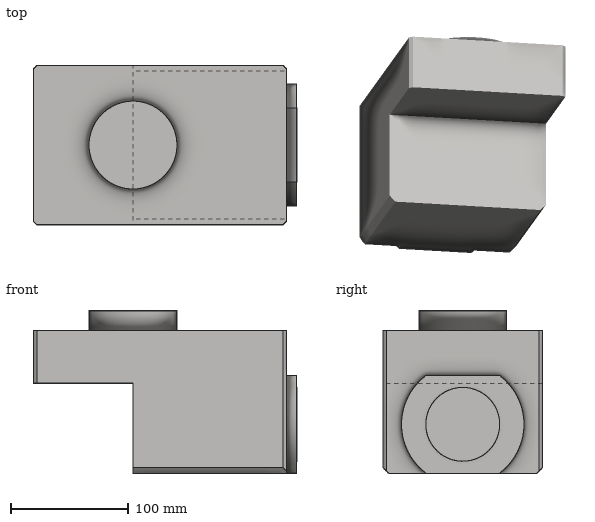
import cadquery as cq

body_length = 216.0
body_width = 136.0
body_height = 122.0
overhang_length = 85.0
overhang_thickness = 45.0

corner_chamfer = 3.0
bottom_chamfer = 5.0

boss_diameter = 75.0
boss_height = 17.0

flange_diameter = 104.5
flange_height = 83.5
flange_thickness = 8.5
flange_center_z = 42.0
spigot_diameter = 63.0
overall_length = 225.0
spigot_height = overall_length - body_length - flange_thickness

body_left = -overhang_length
body_right = body_left + body_length


def body_block(length, height):
    """Block starting at the -X end of the body, standing on Z = 0 and centred on Y."""
    return (
        cq.Workplane("XY", origin=(body_left, 0, 0))
        .box(length, body_width, height, centered=(False, True, False))
    )


def make_body():
    """L-shaped block with bevelled upright corners and bevelled lower long edges."""
    full_block = body_block(body_length, body_height)
    upright_bevels = full_block.edges("|Z").chamfer(corner_chamfer)
    lower_bevels = full_block.edges("|X and <Z").chamfer(bottom_chamfer)
    space_under_overhang = body_block(overhang_length, body_height - overhang_thickness)
    return upright_bevels.intersect(lower_bevels).cut(space_under_overhang)


def make_boss():
    """Cylinder standing on the top face."""
    return (
        cq.Workplane("XY")
        .workplane(offset=body_height)
        .circle(boss_diameter / 2)
        .extrude(boss_height)
    )


def make_flange():
    """Disc cut to two horizontal flats, with a shallow round spigot on its outer face."""
    end_plane = cq.Workplane("YZ", origin=(body_right, 0, flange_center_z))
    disc = end_plane.circle(flange_diameter / 2).extrude(flange_thickness)
    flats = end_plane.rect(flange_diameter, flange_height).extrude(flange_thickness)
    spigot = end_plane.circle(spigot_diameter / 2).extrude(flange_thickness + spigot_height)
    return disc.intersect(flats).union(spigot)


result = make_body().union(make_boss()).union(make_flange())